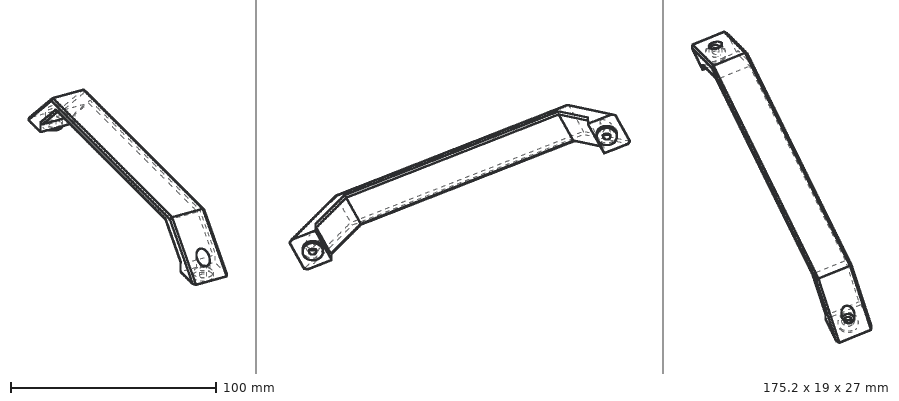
import cadquery as cq

length = 175.2
width = 19.0
total_height = 27.0
peg_height = 2.0
edge_chamfer = 1.0

body_height = total_height - peg_height
bar_thickness = 4.7
foot_length = 14.4
foot_wall_height = 4.2

peg_diameter = 10.0
screw_inset = 8.5
screw_diameter = 3.5
head_diameter = 6.5
head_seat_height = 2.0

half_length = length / 2
bar_underside = body_height - bar_thickness
foot_inner = half_length - foot_length
outer_corner = half_length - body_height
inner_corner = foot_inner - (bar_underside - foot_wall_height)
screw_x = half_length - screw_inset


def make_body():
    """Extrude the bent bar across its width, with the foot undersides at Z = 0."""
    right_half = [
        (inner_corner, bar_underside),
        (foot_inner, foot_wall_height),
        (foot_inner, 0),
        (half_length, 0),
        (outer_corner, body_height),
    ]
    left_half = [(-x, z) for x, z in reversed(right_half)]
    return (
        cq.Workplane("XZ")
        .polyline(right_half + left_half)
        .close()
        .extrude(width / 2, both=True)
    )


def chamfer_long_edges(body):
    """Bevel the side edges of the bar and legs, leaving the feet sharp."""
    side_edges = body.faces("<Y or >Y").edges()
    bar_edges = side_edges.filter(lambda edge: edge.Center().z > foot_wall_height)
    return bar_edges.chamfer(edge_chamfer)


def vertical_cylinder(x, diameter, bottom, top):
    return (
        cq.Workplane("XY", origin=(x, 0, bottom))
        .circle(diameter / 2)
        .extrude(top - bottom)
    )


result = chamfer_long_edges(make_body())
for x in (-screw_x, screw_x):
    peg = vertical_cylinder(x, peg_diameter, -peg_height, 0)
    screw_hole = vertical_cylinder(x, screw_diameter, -peg_height, body_height)
    head_hole = vertical_cylinder(x, head_diameter, head_seat_height, body_height)
    result = result.union(peg).cut(screw_hole).cut(head_hole)